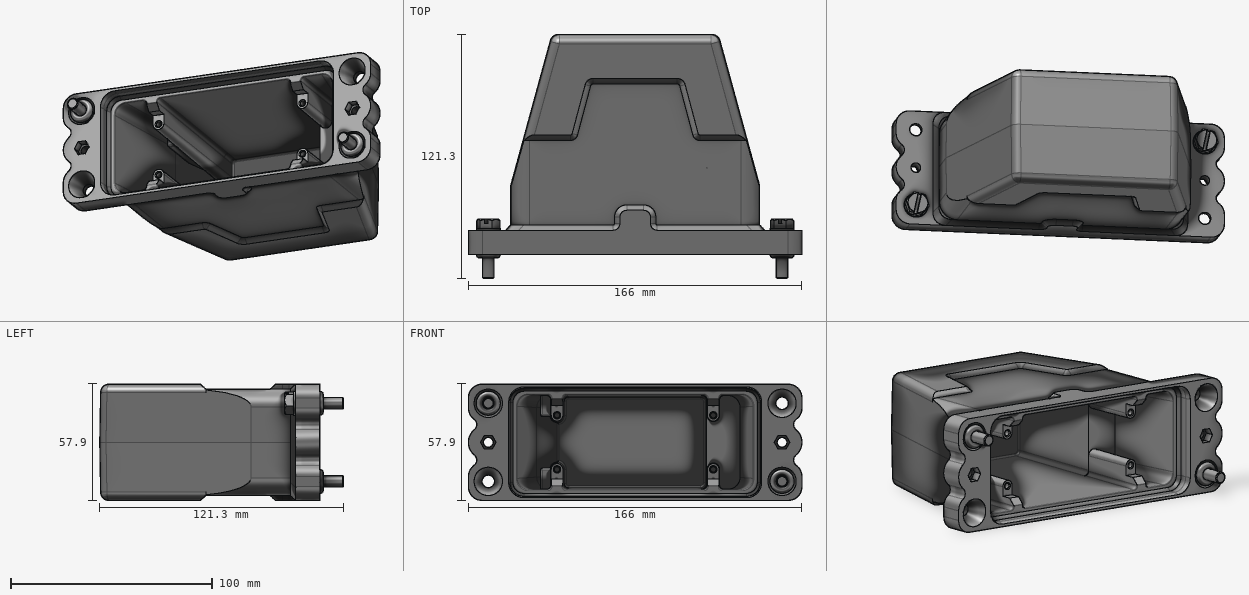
import cadquery as cq
import math


flange_half_length = 83
flange_half_width = 28.97
flange_thickness = 12.1
flange_corner_radius = 7.0
flange_side_flat_end_z = 17.1
notch_radius = 3.3
middle_lobe_radius = 8.1

hole_x = 73
screw_hole_z = 19.5
screw_hole_diameter = 6.1
countersink_diameter = 14.1
countersink_depth = 9.1
hex_recess_corners = 7.8
hex_recess_depth = 5
centre_hole_diameter = 4.8

hood_end_y = 109.5
hood_end_half_length = 41.3
slope_foot_y = 34.4
column_half_length = 62.0
column_half_width = 26.48
column_corner_radius = 9.0
hood_draft = 1
hood_edge_radius = 4.3
step_height = flange_half_width - column_half_width
slope_run = (column_half_length - hood_end_half_length) / (hood_end_y - slope_foot_y)

relief_y = 56.8
relief_peak_y = 84.8
relief_foot_half_length = 29.4
relief_peak_half_length = 21.9
relief_taper = 48
relief_foot_radius = 3.7
relief_peak_radius = 1.3

foot_height = 2.7
tab_half_length = 10.3
tab_end_y = 24.7
tab_corner_radius = 6.1
tab_root_radius = 0.7
tab_slab_half_length = 20

mouth_half_length = 62.9
mouth_half_width = 27.5
mouth_corner_radius = 7.6
mouth_outer_bevel = 0.7
mouth_outer_bevel_depth = 2.8
mouth_inner_bevel = 1.5
mouth_inner_bevel_depth = 2.0
ledge_y = 8.5

cavity_half_length = 58.8
cavity_half_width = 23.7
floor_half_width = 22.5
floor_y = 103
left_bend = (-49.0, 63)
left_floor_x = -38.7
shelf_y = 47.3
shelf_outer_x = 52.1
shelf_inner_x = 35.5
right_floor_x = 35.0
cavity_corner_radius = 5.8
cavity_floor_radius = 1.0
ledge_edge_radius = 0.3
partition_corner_radius = 2.5

boss_x = 38.8
boss_z = 13.5
boss_radius = 2.8
boss_face_y = 17.3
boss_draft = 0.5
boss_hole_diameter = 2.7
boss_hole_depth = 13.3
boss_hole_chamfer = 0.5
boss_root_radius = 2.0
gusset_foot_z = 21.5
gusset_top_z = 18.3
pad_x = (-47.0, -41.5)
pad_inner_z = 12.8
pad_edge_radius = 1.0

screw_diameter = 5.8
screw_tip_y = -11.8
screw_tip_chamfer = 0.5
head_ring_diameter = 12.0
head_ring_thickness = 1.0
head_end_y = 17.8
head_corners = 12.0
head_chamfer = 1.0
head_angle = 12
slot_width = 1.7
slot_depth = 2.2
collar_radius = 1.7


def plane_at(y):
    """Workplane facing +Y; its local axes are X and -Z."""
    return cq.Workplane(cq.Plane(origin=(0, y, 0), xDir=(1, 0, 0), normal=(0, 1, 0)))


def mirrored_in_z(body):
    return body.union(body.mirror("XY"))


def upright_edges(body, half_length, y):
    """Edges along Z that stand at a given Y within a given distance of X = 0."""
    reach = half_length + 0.2
    box = cq.selectors.BoxSelector((-reach, y - 0.2, 0), (reach, y + 0.2, flange_half_width))
    return body.edges("|Z").edges(box)


def point_on_circle(centre, radius, angle):
    return (centre[0] + radius * math.cos(angle), centre[1] + radius * math.sin(angle))


def make_flange():
    """Plate whose short ends each have two corner lobes and a middle lobe joined by tangent notches."""
    corner = (flange_half_length - flange_corner_radius, flange_side_flat_end_z)
    lobe = (flange_half_length - middle_lobe_radius, 0)

    to_corner = flange_corner_radius + notch_radius
    to_lobe = middle_lobe_radius + notch_radius
    span = math.dist(corner, lobe)
    triangle_angle = math.acos((to_lobe**2 + span**2 - to_corner**2) / (2 * to_lobe * span))
    lobe_angle = math.atan2(corner[1] - lobe[1], corner[0] - lobe[0]) - triangle_angle
    notch = point_on_circle(lobe, to_lobe, lobe_angle)
    corner_angle = math.atan2(notch[1] - corner[1], notch[0] - corner[0])
    notch_angle = (corner_angle + lobe_angle) / 2 + math.pi

    quarter = (
        plane_at(0)
        .lineTo(0, flange_half_width)
        .lineTo(flange_half_length, flange_half_width)
        .lineTo(flange_half_length, flange_side_flat_end_z)
        .threePointArc(
            point_on_circle(corner, flange_corner_radius, corner_angle / 2),
            point_on_circle(corner, flange_corner_radius, corner_angle),
        )
        .threePointArc(
            point_on_circle(notch, notch_radius, notch_angle),
            point_on_circle(lobe, middle_lobe_radius, lobe_angle),
        )
        .threePointArc(
            point_on_circle(lobe, middle_lobe_radius, lobe_angle / 2),
            (flange_half_length, 0),
        )
        .close()
        .extrude(flange_thickness)
        .edges("|Y and >X and <Z")
        .fillet(flange_corner_radius)
    )
    half = quarter.union(quarter.mirror("YZ"))
    return mirrored_in_z(half)


def make_slope_block():
    """Trapezoid that sets the sloping ends of the hood, drafted away from Z = 0."""
    base_half_length = hood_end_half_length + hood_end_y * slope_run
    return (
        cq.Workplane("XY")
        .polyline([
            (-base_half_length, 0),
            (base_half_length, 0),
            (hood_end_half_length, hood_end_y),
            (-hood_end_half_length, hood_end_y),
        ])
        .close()
        .extrude(flange_half_width, taper=hood_draft)
    )


def make_column():
    """Lower part of the hood, with round corners and drafted ends."""
    top_half_length = column_half_length - column_half_width * math.tan(math.radians(hood_draft))
    column = (
        plane_at(0)
        .polyline([
            (-column_half_length, 0),
            (-top_half_length, column_half_width),
            (top_half_length, column_half_width),
            (column_half_length, 0),
            (top_half_length, -column_half_width),
            (-top_half_length, -column_half_width),
        ])
        .close()
        .extrude(relief_y)
        .edges("|Y and (>Z or <Z)")
        .fillet(column_corner_radius)
    )
    return column.intersect(mirrored_in_z(make_slope_block()))


def make_crown():
    """Upper part of the hood, with round edges, cut back by the stepped relief."""
    block = make_slope_block()
    end_corners = cq.selectors.BoxSelector(
        (-column_half_length, hood_end_y - 1.7, 0), (column_half_length, hood_end_y + 1.7, flange_half_width - 1.7)
    )
    block = block.edges("not(#Z or |X)").edges(end_corners).fillet(hood_edge_radius)
    block = block.faces(">Z").edges("not(<Y)").fillet(hood_edge_radius)
    crown_zone = (
        plane_at(relief_y)
        .rect(2 * flange_half_length, 2 * flange_half_length)
        .extrude(hood_end_y)
    )
    crown = mirrored_in_z(block).intersect(crown_zone)
    wide = column_half_length + flange_half_width
    outline = (
        cq.Workplane("XY", origin=(0, 0, column_half_width))
        .polyline([
            (-wide, 0),
            (wide, 0),
            (wide, relief_y),
            (relief_foot_half_length, relief_y),
            (relief_peak_half_length, relief_peak_y),
            (-relief_peak_half_length, relief_peak_y),
            (-relief_foot_half_length, relief_y),
            (-wide, relief_y),
        ])
        .close()
        .extrude(step_height)
        .edges("|Z and >Y").fillet(relief_peak_radius)
    )
    outline = upright_edges(outline, relief_foot_half_length, relief_y).fillet(relief_foot_radius)
    relief = outline.faces("<Z").wires().toPending().extrude(
        step_height, combine=False, taper=-relief_taper
    )
    return crown.cut(mirrored_in_z(relief))


def make_foot():
    """Chamfered foot between the flange and the hood."""
    spread = math.degrees(math.atan(step_height / foot_height))
    return (
        plane_at(flange_thickness)
        .rect(2 * (column_half_length + step_height), 2 * flange_half_width)
        .extrude(foot_height, taper=spread)
        .edges("not(|X or |Z)")
        .fillet(column_corner_radius)
    )


def make_tab():
    """Raised tab on the broad face, with sloping sides that blend into the foot."""
    slab_y = flange_thickness + foot_height
    taper = math.degrees(math.atan(foot_height / step_height))
    outline = (
        cq.Workplane("XY", origin=(0, 0, column_half_width))
        .polyline([
            (-tab_slab_half_length, 0),
            (tab_slab_half_length, 0),
            (tab_slab_half_length, slab_y),
            (tab_half_length, slab_y),
            (tab_half_length, tab_end_y),
            (-tab_half_length, tab_end_y),
            (-tab_half_length, slab_y),
            (-tab_slab_half_length, slab_y),
        ])
        .close()
        .extrude(step_height)
        .edges("|Z and >Y").fillet(tab_corner_radius)
    )
    outline = upright_edges(outline, tab_half_length, slab_y).fillet(tab_root_radius)
    tab = outline.faces("<Z").wires().toPending().extrude(step_height, combine=False, taper=taper)
    return mirrored_in_z(tab)


def make_mouth():
    """Bevelled recess around the cavity opening, down to the ledge."""
    def layer(start, depth, inset, bevel=0):
        section = (
            cq.Sketch()
            .rect(2 * (mouth_half_length - inset), 2 * (mouth_half_width - inset))
            .vertices()
            .fillet(mouth_corner_radius - inset)
        )
        lean = math.degrees(math.atan(bevel / depth))
        return plane_at(start).placeSketch(section).extrude(depth, taper=lean)

    wall_end_y = ledge_y - mouth_inner_bevel_depth
    outer = layer(0, mouth_outer_bevel_depth, 0, mouth_outer_bevel)
    middle = layer(0, wall_end_y, mouth_outer_bevel)
    inner = layer(wall_end_y, mouth_inner_bevel_depth, mouth_outer_bevel, mouth_inner_bevel)
    return outer.union(middle).union(inner)


def make_cavity():
    """Hollow of the hood: one long sloping end, and a shallow shelf at the other end."""
    hollow = (
        cq.Workplane("XY")
        .polyline([
            (-cavity_half_length, ledge_y),
            left_bend,
            (left_floor_x, floor_y),
            (right_floor_x, floor_y),
            (shelf_inner_x, shelf_y),
            (shelf_outer_x, shelf_y),
            (cavity_half_length, ledge_y),
        ])
        .close()
        .extrude(cavity_half_width, both=True)
    )
    drafted = (
        cq.Workplane("YZ")
        .polyline([
            (ledge_y, -cavity_half_width),
            (ledge_y, cavity_half_width),
            (floor_y, floor_half_width),
            (floor_y, -floor_half_width),
        ])
        .close()
        .extrude(2 * cavity_half_length, both=True)
    )
    hollow = hollow.intersect(drafted)

    def wall_edges(x_from, x_to):
        band = cq.selectors.BoxSelector(
            (x_from, ledge_y + 1.7, -flange_half_width), (x_to, floor_y - 1.7, flange_half_width)
        )
        return hollow.edges("not(|X or |Z)").edges(band)

    hollow = wall_edges(-cavity_half_length, left_floor_x).fillet(cavity_corner_radius)
    hollow = wall_edges(shelf_outer_x, cavity_half_length).fillet(cavity_corner_radius)
    return wall_edges(right_floor_x, shelf_inner_x).fillet(partition_corner_radius)


def make_boss():
    """Drafted boss on the +Z wall at X = 0, with the gusset that joins it to the ledge."""
    reach = flange_half_width - 1.7
    boss = (
        cq.Workplane(cq.Plane(origin=(0, ledge_y, 0), xDir=(-1, 0, 0), normal=(0, 1, 0)))
        .moveTo(-boss_radius, reach)
        .lineTo(-boss_radius, boss_z)
        .threePointArc((0, boss_z - boss_radius), (boss_radius, boss_z))
        .lineTo(boss_radius, reach)
        .close()
        .extrude(floor_y + 1.7 - ledge_y, taper=-boss_draft)
    )
    space_above_gusset = (
        cq.Workplane("YZ")
        .polyline([
            (ledge_y, 0),
            (ledge_y, gusset_foot_z),
            (ledge_y + gusset_foot_z - gusset_top_z, gusset_top_z),
            (boss_face_y, gusset_top_z),
            (boss_face_y, 0),
        ])
        .close()
        .extrude(2 * boss_radius, both=True)
    )
    return boss.cut(space_above_gusset)


def make_boss_hole():
    """Blind hole with a chamfered rim, for the boss on the +Z wall."""
    rim_radius = boss_hole_diameter / 2 + boss_hole_chamfer
    countersink = (
        plane_at(boss_face_y)
        .center(0, -boss_z)
        .circle(rim_radius)
        .extrude(boss_hole_chamfer, taper=45)
    )
    return (
        plane_at(boss_face_y)
        .center(0, -boss_z)
        .circle(boss_hole_diameter / 2)
        .extrude(boss_hole_depth)
        .union(countersink)
    )


def make_pad():
    """Flat-topped pad beside each boss at the sloping end of the cavity."""
    width = pad_x[1] - pad_x[0]
    return (
        cq.Workplane("XY", origin=(pad_x[0], shelf_y, pad_inner_z))
        .box(width, floor_y - shelf_y, flange_half_width - pad_inner_z, centered=False)
        .edges("(|Z and <X and <Y) or (|X and <Y and <Z) or (|Y and <X and <Z)")
        .fillet(pad_edge_radius)
    )


def make_equipped_cavity():
    """Cavity around its pads and bosses, with round boss roots and a round floor edge."""
    cavity = make_cavity().cut(mirrored_in_z(make_pad()))
    bosses = mirrored_in_z(make_boss())
    for x in (-boss_x, boss_x):
        cavity = cavity.cut(bosses.translate((x, 0, 0)))
    reach = boss_x + boss_radius + boss_root_radius
    for side in (-1, 1):
        wall_band = cq.selectors.BoxSelector(
            (-reach, boss_face_y, side * floor_half_width),
            (reach, floor_y / 2 + ledge_y, side * cavity_half_width),
        )
        cavity = cavity.edges("not(|X)").edges(wall_band).fillet(boss_root_radius)
    return cavity.faces(">Y").edges().fillet(cavity_floor_radius)


def make_screw_hole():
    """Through hole with a deep countersink in the mating face."""
    hole = plane_at(0).circle(screw_hole_diameter / 2).extrude(flange_thickness)
    cone = cq.Solid.makeCone(
        countersink_diameter / 2,
        screw_hole_diameter / 2,
        countersink_depth,
        cq.Vector(0, 0, 0),
        cq.Vector(0, 1, 0),
    )
    return hole.union(cq.Workplane(cone))


def make_centre_hole():
    """Through hole with a hexagonal recess in the mating face."""
    hole = plane_at(0).circle(centre_hole_diameter / 2).extrude(flange_thickness)
    recess = plane_at(0).polygon(6, hex_recess_corners).extrude(hex_recess_depth)
    return hole.union(recess)


def round_ledge_edge(body):
    """Round the edge where the cavity walls meet the ledge."""
    ledge_zone = cq.selectors.BoxSelector(
        (-boss_x, ledge_y - ledge_edge_radius, -boss_z), (boss_x, ledge_y + ledge_edge_radius, boss_z)
    )
    ledge = body.faces("|Y").faces(ledge_zone).val()
    return body.newObject(ledge.innerWires()[0].Edges()).fillet(ledge_edge_radius)


def make_housing():
    """Flange and hood as one hollow casting, with all its holes."""
    body = make_flange().union(make_column()).union(make_crown()).union(make_foot()).union(make_tab())
    cavity = make_equipped_cavity()
    boss_holes = mirrored_in_z(make_boss_hole())
    body = round_ledge_edge(body.cut(make_mouth()).cut(cavity))
    for x in (-boss_x, boss_x):
        body = body.cut(boss_holes.translate((x, 0, 0)))
    for x in (-hole_x, hole_x):
        body = body.cut(make_centre_hole().translate((x, 0, 0)))
        for z in (-screw_hole_z, screw_hole_z):
            body = body.cut(make_screw_hole().translate((x, 0, z)))
    return body


def make_screw(x, z):
    """Captive screw with a round collar at the mating face and a slotted hex head behind the flange."""
    shank = (
        plane_at(screw_tip_y)
        .circle(screw_diameter / 2)
        .extrude(flange_thickness - screw_tip_y)
        .faces("<Y")
        .chamfer(screw_tip_chamfer)
    )
    ring = plane_at(flange_thickness).circle(head_ring_diameter / 2).extrude(head_ring_thickness)
    head_start = flange_thickness + head_ring_thickness
    head_height = head_end_y - head_start
    head = plane_at(head_start).polygon(6, head_corners).extrude(head_height)
    head = head.intersect(
        plane_at(head_start).circle(head_corners / 2).extrude(head_height).faces(">Y").chamfer(head_chamfer)
    )
    slot = cq.Workplane("XY").box(slot_width, 2 * slot_depth, 2 * head_corners)
    head = head.cut(slot.translate((0, head_end_y, 0)))
    head = head.rotate((0, 0, 0), (0, 1, 0), -head_angle)
    collar = cq.Solid.makeTorus(
        head_ring_diameter / 2 - collar_radius,
        collar_radius,
        cq.Vector(0, 0, 0),
        cq.Vector(0, 1, 0),
    )
    screw = shank.union(ring).union(head).union(cq.Workplane(collar))
    return screw.translate((x, 0, z))


housing = make_housing()
screws = [make_screw(x, z) for x, z in ((-hole_x, screw_hole_z), (hole_x, -screw_hole_z))]

result = cq.Compound.makeCompound([housing.val(), *[screw.val() for screw in screws]])